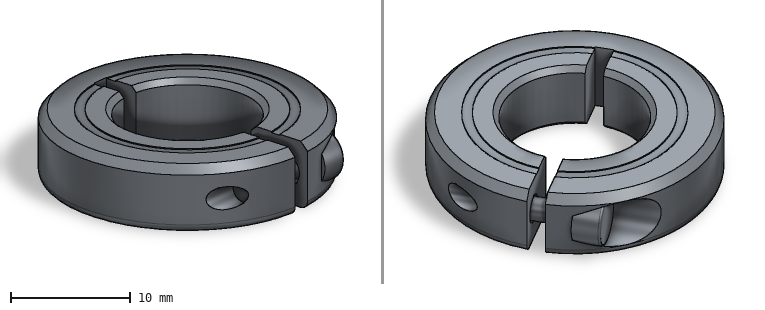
import cadquery as cq
import math

OUTER_RADIUS = 12.45
WIDTH = 6.0
BORE_RADIUS = 6.33
BORE_CHAMFER = 0.5
RIM_CHAMFER = 0.75
RIM_FILLET = 0.75

GROOVE_INNER_RADIUS = 8.55
GROOVE_OUTER_RADIUS = 9.45
GROOVE_DEPTH = 0.1

SLOT_WIDTH = 1.6
SLOT_REACH = 9.5

SCREW_X = 10.2
SEAT_Y = 3.05
HEAD_DIAMETER = 4.5
HEAD_HEIGHT = 2.5
HEAD_FILLET = 0.17
SHANK_LENGTH = 8.0
CLEARANCE_DIAMETER = 2.72
THREAD_DIAMETER = 2.07
THREAD_MOUTH_DIAMETER = 2.5
MOUTH_ANGLE = 45


def screw_axis_cylinder(diameter, y_start, y_end):
    """Cylinder on the screw axis, from y_start up to y_end."""
    return (
        cq.Workplane("XZ", origin=(SCREW_X, y_end, WIDTH / 2))
        .circle(diameter / 2)
        .extrude(y_end - y_start)
    )


def make_ring():
    """Ring turned from its radial section: chamfered top rim, rounded bottom rim, chamfered bore."""
    arc_inset = RIM_FILLET * (1 - math.sqrt(0.5))
    chamfer_radius = BORE_RADIUS + BORE_CHAMFER
    groove_floor = WIDTH - GROOVE_DEPTH
    section = (
        cq.Workplane("XZ")
        .moveTo(chamfer_radius, 0)
        .lineTo(OUTER_RADIUS - RIM_FILLET, 0)
        .threePointArc((OUTER_RADIUS - arc_inset, arc_inset), (OUTER_RADIUS, RIM_FILLET))
        .lineTo(OUTER_RADIUS, WIDTH - RIM_CHAMFER)
        .lineTo(OUTER_RADIUS - RIM_CHAMFER, WIDTH)
        .lineTo(GROOVE_OUTER_RADIUS, WIDTH)
        .lineTo(GROOVE_OUTER_RADIUS, groove_floor)
        .lineTo(GROOVE_INNER_RADIUS, groove_floor)
        .lineTo(GROOVE_INNER_RADIUS, WIDTH)
        .lineTo(chamfer_radius, WIDTH)
        .lineTo(BORE_RADIUS, WIDTH - BORE_CHAMFER)
        .lineTo(BORE_RADIUS, BORE_CHAMFER)
        .close()
    )
    return section.revolve(360, (0, 0), (0, 1))


def make_slot():
    """Block that opens the ring at +X and reaches across the bore to the hinge."""
    return cq.Workplane("XY").box(
        SLOT_REACH + OUTER_RADIUS, SLOT_WIDTH, WIDTH, centered=(False, True, False)
    ).translate((-SLOT_REACH, 0, 0))


def make_screw_holes():
    """Head pocket and clearance hole at +Y, threaded hole with a chamfered mouth at -Y."""
    pocket = screw_axis_cylinder(HEAD_DIAMETER, SEAT_Y, OUTER_RADIUS)
    clearance = screw_axis_cylinder(CLEARANCE_DIAMETER, 0, SEAT_Y)
    threaded = screw_axis_cylinder(THREAD_DIAMETER, -OUTER_RADIUS, 0)
    mouth_depth = (THREAD_MOUTH_DIAMETER - THREAD_DIAMETER) / 2 / math.tan(math.radians(MOUTH_ANGLE))
    mouth = (
        cq.Workplane("XZ", origin=(SCREW_X, -SLOT_WIDTH / 2, WIDTH / 2))
        .circle(THREAD_MOUTH_DIAMETER / 2)
        .extrude(mouth_depth, taper=MOUTH_ANGLE)
    )
    return pocket.union(clearance).union(threaded).union(mouth)


def make_screw():
    """Cap screw with a rounded head edge; its shank crosses the slot and fills the threaded hole."""
    head = screw_axis_cylinder(HEAD_DIAMETER, SEAT_Y, SEAT_Y + HEAD_HEIGHT)
    head = head.faces(">Y").edges().fillet(HEAD_FILLET)
    shank = screw_axis_cylinder(THREAD_DIAMETER, SEAT_Y - SHANK_LENGTH, SEAT_Y)
    return head.union(shank)


result = make_ring().cut(make_slot()).cut(make_screw_holes()).union(make_screw())